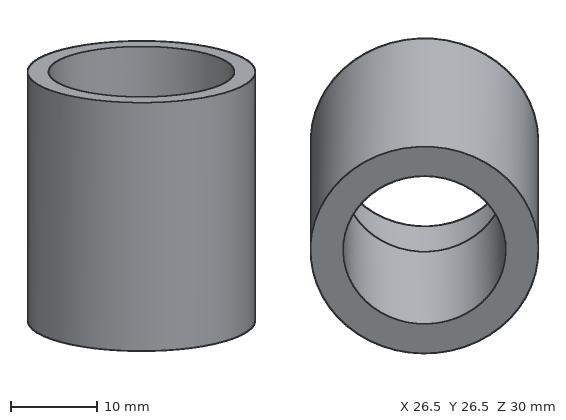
import cadquery as cq

height = 30.0
outer_diameter = 26.5
bore_diameter = 18.9
socket_diameter = 21.6
socket_depth = 10.0

body = cq.Workplane("XY").circle(outer_diameter / 2).extrude(height)

result = body.faces(">Z").workplane().cboreHole(bore_diameter, socket_diameter, socket_depth)